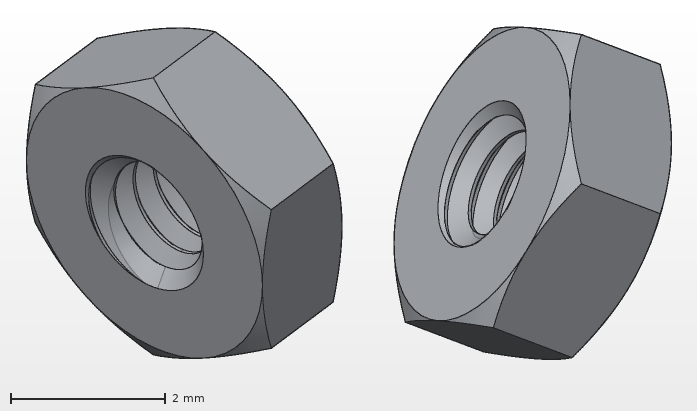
import cadquery as cq
import math

ACROSS_CORNERS = 4.62
ACROSS_FLATS = ACROSS_CORNERS * math.cos(math.radians(30))
THICKNESS = 0.4 * ACROSS_FLATS
CORNER_CHAMFER_ANGLE = 30.0
CORNER_CLEARANCE = 0.045

MAJOR_RADIUS = ACROSS_FLATS / 4
PITCH = ACROSS_FLATS / 10
FLAT_WIDTH = PITCH / 8
FLANK_HALF_ANGLE = math.radians(30)
FLANK_RUN = PITCH / 2 - FLAT_WIDTH
THREAD_DEPTH = FLANK_RUN / math.tan(FLANK_HALF_ANGLE)
MINOR_RADIUS = MAJOR_RADIUS - THREAD_DEPTH
THREAD_START_ANGLE = 112.5
BORE_SEAM_ANGLE = 77.0
BORE_OVERLAP = 0.025


def revolve_profile(points):
    """Turn a closed (radius, height) outline around the Z axis."""
    return cq.Workplane("XZ").polyline(points).close().revolve(360, (0, 0, 0), (0, 1, 0))


def make_hex_body():
    """Hexagonal prism whose corners are bevelled at both ends by cones."""
    prism = cq.Workplane("XY").polygon(6, ACROSS_CORNERS).extrude(THICKNESS)
    prism = prism.rotate((0, 0, 0), (0, 0, 1), 30)
    face_radius = ACROSS_FLATS / 2
    outer_radius = ACROSS_CORNERS / 2 + CORNER_CLEARANCE
    drop = (outer_radius - face_radius) * math.tan(math.radians(CORNER_CHAMFER_ANGLE))
    envelope = revolve_profile([
        (0, 0),
        (face_radius, 0),
        (outer_radius, drop),
        (outer_radius, THICKNESS - drop),
        (face_radius, THICKNESS),
        (0, THICKNESS),
    ])
    return prism.intersect(envelope)


def make_bore():
    """Minor-diameter hole with a 45 degree countersink at each end."""
    return revolve_profile([
        (0, 0),
        (MAJOR_RADIUS, 0),
        (MINOR_RADIUS, THREAD_DEPTH),
        (MINOR_RADIUS, THICKNESS - THREAD_DEPTH),
        (MAJOR_RADIUS, THICKNESS),
        (0, THICKNESS),
    ])


def make_thread_groove():
    """Helical trapezoid groove that runs out past both end faces."""
    lead_in = PITCH
    helix_height = THICKNESS + 2 * lead_in
    inner_radius = MINOR_RADIUS - BORE_OVERLAP
    half_root = FLAT_WIDTH / 2
    half_mouth = half_root + (MAJOR_RADIUS - inner_radius) * math.tan(FLANK_HALF_ANGLE)
    section = [
        (inner_radius, -half_mouth),
        (MAJOR_RADIUS, -half_root),
        (MAJOR_RADIUS, half_root),
        (inner_radius, half_mouth),
    ]
    edges = [
        cq.Wire.makeHelix(PITCH, helix_height, radius, cq.Vector(0, 0, height - lead_in)).Edges()[0]
        for radius, height in section
    ]
    faces = [cq.Face.makeRuledSurface(edges[i - 1], edges[i]) for i in range(len(edges))]
    for end in (0, 1):
        corners = [edge.positionAt(end) for edge in edges]
        faces.append(cq.Face.makeFromWires(cq.Wire.makePolygon(corners, close=True)))
    groove = cq.Solid.makeSolid(cq.Shell.makeShell(faces)).fix()
    return cq.Workplane(groove).rotate((0, 0, 0), (0, 0, 1), THREAD_START_ANGLE)


bore = make_bore().rotate((0, 0, 0), (0, 0, 1), BORE_SEAM_ANGLE)
nut = make_hex_body().cut(make_thread_groove()).cut(bore)

result = nut.translate((0, 0, -THICKNESS / 2)).rotate((0, 0, 0), (1, 0, 0), -90)